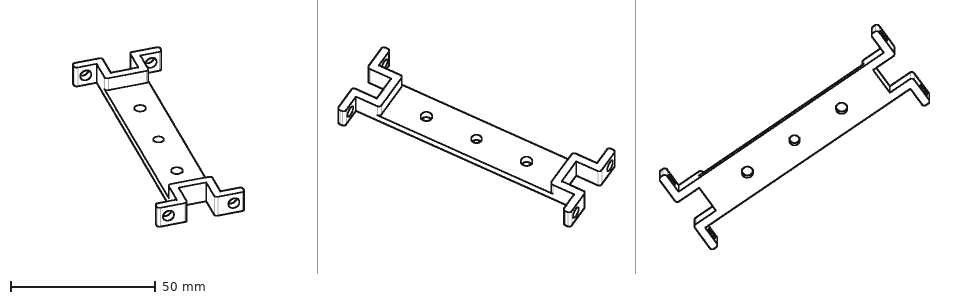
import cadquery as cq

length = 93.2
width = 32.0
height = 8.0

base_width = 16.0
wall = 3.0
base_thickness = 3.0
bracket_length = 12.6
corner_radius = 1.0

center_hole_diameter = 3.6
hole_diameter = 4.0
base_hole_spacing = 20.0
ear_hole_spacing = 23.95

half_length = length / 2
half_width = width / 2
half_base = base_width / 2
notch_half_width = half_base - wall
inner_x = half_length - bracket_length
notch_x = inner_x + wall
ear_inner_x = half_length - wall


def make_bracket():
    """Hat-shaped wall at the +X end, with two ears that face outward."""
    upper_half = [
        (inner_x, half_base),
        (ear_inner_x, half_base),
        (ear_inner_x, half_width),
        (half_length, half_width),
        (half_length, notch_half_width),
        (notch_x, notch_half_width),
    ]
    lower_half = [(x, -y) for x, y in reversed(upper_half)]
    bracket = cq.Workplane("XY").polyline(upper_half + lower_half).close().extrude(height)

    bracket = bracket.edges("|Z and (>X or <X or >Y or <Y)").fillet(corner_radius)

    ear_holes = (
        cq.Workplane("YZ", origin=(inner_x, 0, height / 2))
        .pushPoints([(-ear_hole_spacing / 2, 0), (ear_hole_spacing / 2, 0)])
        .circle(hole_diameter / 2)
        .extrude(bracket_length)
    )
    return bracket.cut(ear_holes)


def make_base():
    """Flat strip that ends at the notch in each bracket."""
    base = cq.Workplane("XY").box(
        2 * notch_x, base_width, base_thickness, centered=(True, True, False)
    )
    for x, diameter in [
        (-base_hole_spacing, hole_diameter),
        (0, center_hole_diameter),
        (base_hole_spacing, hole_diameter),
    ]:
        hole = cq.Workplane("XY").center(x, 0).circle(diameter / 2).extrude(base_thickness)
        base = base.cut(hole)
    return base


bracket = make_bracket()
result = make_base().union(bracket).union(bracket.mirror("YZ"))